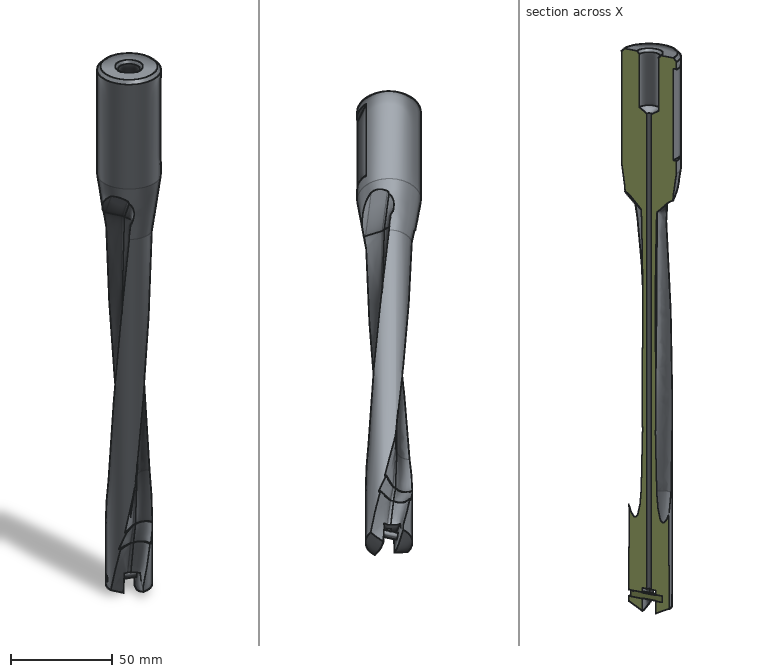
import cadquery as cq
import math

total_length = 293.7
shank_diameter = 31.7
body_diameter = 23.2
shank_bottom_z = 233.5
neck_bottom_z = 203.0
shank_chamfer = 1.8

flat_y = 14.0
flat_bottom_z = 240.0
flat_top_z = 287.8

socket_diameter = 11.0
socket_depth = 29.5
socket_chamfer = 1.5
drill_point_angle = 118.0
coolant_diameter = 2.3

point_height = 3.8
slot_width = 7.5
slot_height = 12.0

flute_count = 2
flute_path = [(-3.0, -126.0), (28.5, -88.0), (38.2, -68.0), (64.5, -42.0), (211.0, 24.0)]
flute_half_angles = [42.0, 47.0, 51.0, 51.0]
flute_core_radius = 3.5
flute_core_half_width = 1.0
flute_wall_hollow = 2.0
flute_mouth_depth = 8.8
flute_rim_clearance = 0.3
runout_shift = (24.7, -3.0, 28.8)

screw_x = -1.0
screw_z = 8.2
screw_diameter = 3.5
screw_start_y = -10.5
screw_end_y = 7.3
screw_socket_width = 1.8
screw_socket_depth = 1.5

shank_radius = shank_diameter / 2
body_radius = body_diameter / 2
slot_half = slot_width / 2


def make_blank():
    """Shank, tapered neck, straight body and conical point as one revolved shape."""
    point_slope = point_height / (body_radius - slot_half)
    apex_z = -slot_half * point_slope
    outline = [
        (0, apex_z),
        (-body_radius, point_height),
        (-body_radius, neck_bottom_z),
        (-shank_radius, shank_bottom_z),
        (-shank_radius, total_length - shank_chamfer),
        (-shank_radius + shank_chamfer, total_length),
        (0, total_length),
    ]
    return cq.Workplane("XZ").polyline(outline).close().revolve(360, (0, 0), (0, 1))


def make_shank_flat():
    """Block that leaves the clamping flat on the +Y side of the shank."""
    height = flat_top_z - flat_bottom_z
    block = cq.Workplane("XY").box(shank_diameter, shank_radius, height, centered=(True, False, False))
    return block.translate((0, flat_y, flat_bottom_z))


def make_coolant_supply():
    """Chamfered blind hole with a drill-point bottom and a thin bore down to the slot."""
    radius = socket_diameter / 2
    floor_z = total_length - socket_depth
    bore_radius = coolant_diameter / 2
    cone_height = (radius - bore_radius) / math.tan(math.radians(drill_point_angle / 2))
    outline = [
        (0, slot_height / 2),
        (bore_radius, slot_height / 2),
        (bore_radius, floor_z - cone_height),
        (radius, floor_z),
        (radius, total_length - socket_chamfer),
        (radius + socket_chamfer, total_length),
        (0, total_length),
    ]
    return cq.Workplane("XZ").polyline(outline).close().revolve(360, (0, 0), (0, 1))


def flute_profile(z, opening):
    """Flute section open toward -Y: a straight wall, a round core and a hollow wall."""
    half_angle = math.radians(opening)
    rim_radius = body_radius + flute_rim_clearance
    rim_x = rim_radius * math.sin(half_angle)
    rim_y = -rim_radius * math.cos(half_angle)
    mouth_y = -rim_radius - flute_mouth_depth
    mouth_x = rim_x * mouth_y / rim_y
    wall_slope = (rim_y + flute_core_radius) / rim_x
    core_x = flute_core_half_width
    core_y = -flute_core_radius + core_x * wall_slope
    wall_length = math.hypot(rim_x - core_x, rim_y - core_y)
    hollow_x = (core_x + rim_x) / 2 + flute_wall_hollow * (core_y - rim_y) / wall_length
    hollow_y = (core_y + rim_y) / 2 + flute_wall_hollow * (rim_x - core_x) / wall_length
    return (
        cq.Workplane("XY")
        .workplane(offset=z)
        .moveTo(mouth_x, mouth_y)
        .lineTo(-mouth_x, mouth_y)
        .lineTo(-rim_x, rim_y)
        .lineTo(-core_x, core_y)
        .threePointArc((0, (core_y - flute_core_radius) / 2), (core_x, core_y))
        .threePointArc((hollow_x, hollow_y), (rim_x, rim_y))
        .close()
    )


def turn(shape, angle):
    """Turn a shape about the drill axis."""
    return shape.rotate((0, 0, 0), (0, 0, 1), angle)


def make_flute_stretches():
    """Twisted stretches of one flute, followed by its slanted run-out into the neck."""
    stretches = []
    for start, end, opening in zip(flute_path, flute_path[1:], flute_half_angles):
        rise = end[0] - start[0]
        twist = end[1] - start[1]
        stretch = flute_profile(start[0], opening).twistExtrude(rise, twist)
        stretches.append(turn(stretch, start[1]))
    end_z, end_angle = flute_path[-1]
    end_wire = turn(flute_profile(end_z, flute_half_angles[-1]), end_angle).wires().val()
    runout = cq.Solid.extrudeLinear(end_wire, [], cq.Vector(*runout_shift))
    stretches.append(cq.Workplane(runout))
    return stretches


def make_insert_slot():
    """Slot across the point, open along X, for a cutting insert."""
    bottom_z = -total_length / 2
    height = slot_height - bottom_z
    slot = cq.Workplane("XY").box(shank_diameter, slot_width, height, centered=(True, True, False))
    return slot.translate((0, 0, bottom_z))


def screw_axis_rod(start_y, end_y):
    """Round rod of the screw diameter on the screw axis."""
    start = cq.Vector(screw_x, start_y, screw_z)
    direction = cq.Vector(0, 1, 0)
    return cq.Workplane(cq.Solid.makeCylinder(screw_diameter / 2, end_y - start_y, start, direction))


def make_clamping_screw():
    """Headless screw with a hexagon socket in its -Y end."""
    plane = cq.Plane(origin=(screw_x, screw_start_y, screw_z), xDir=(1, 0, 0), normal=(0, 1, 0))
    socket = (
        cq.Workplane(plane)
        .polygon(6, screw_socket_width, circumscribed=True)
        .extrude(screw_socket_depth)
    )
    return screw_axis_rod(screw_start_y, screw_end_y).cut(socket)


def make_drill_body():
    """Fluted drill holder with its flat, coolant supply, insert slot and screw hole."""
    body = make_blank().cut(make_shank_flat())
    for stretch in make_flute_stretches():
        for index in range(flute_count):
            body = body.cut(turn(stretch, index * 360 / flute_count))
    body = body.cut(make_insert_slot()).cut(make_coolant_supply())
    return body.cut(screw_axis_rod(-shank_radius, screw_end_y))


drill_body = make_drill_body()
clamping_screw = make_clamping_screw()

result = cq.Compound.makeCompound([drill_body.solids().val(), clamping_screw.solids().val()])